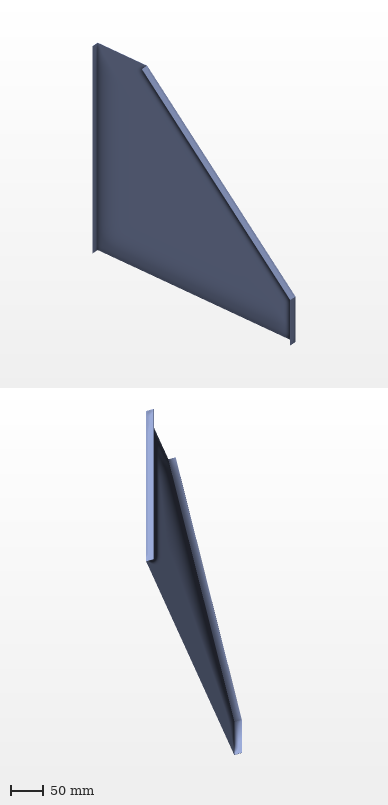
import cadquery as cq
import math

width = 400.0
height = 384.39
flange_depth = 12.5
sheet = 0.55

top_edge = 99.9
slope_run = width - top_edge
right_edge = height - slope_run


def extrude_toward_front(points, depth):
    """Extrude an XZ outline from the rear face (Y = 0) toward -Y."""
    return cq.Workplane("XZ").polyline(points).close().extrude(depth)


def make_plate():
    """Flat sheet: a rectangle with its upper right corner cut off."""
    outline = [
        (0, 0),
        (width, 0),
        (width, right_edge),
        (top_edge, height),
        (0, height),
    ]
    return extrude_toward_front(outline, sheet)


def make_upright_flange(left, flange_height):
    """Flange along a vertical edge, its left face at X = left."""
    right = left + sheet
    outline = [(left, 0), (right, 0), (right, flange_height), (left, flange_height)]
    return extrude_toward_front(outline, flange_depth)


def make_sloped_flange():
    """Flange along the 45 degree edge, with ends square to that edge."""
    inset = sheet / math.sqrt(2)
    outline = [
        (top_edge, height),
        (width, right_edge),
        (width - inset, right_edge - inset),
        (top_edge - inset, height - inset),
    ]
    return extrude_toward_front(outline, flange_depth)


left_flange = make_upright_flange(0, height)
right_flange = make_upright_flange(width - sheet, right_edge)

result = make_plate().union(left_flange).union(right_flange).union(make_sloped_flange())